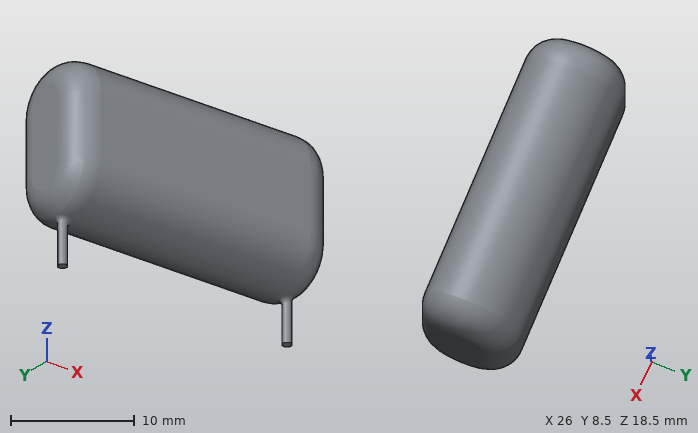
import cadquery as cq

body_length = 26.0
body_thickness = 8.5
body_height = 14.5
end_radius = 2.5

total_height = 18.5
lead_diameter = 0.8
lead_pitch = 22.5
root_radius = 0.5
lead_drop = total_height - body_height

body_center_z = body_height / 2
lead_positions = (-lead_pitch / 2, lead_pitch / 2)


def make_body():
    """Section extruded along X, with both end faces rounded over."""
    return (
        cq.Workplane("YZ")
        .center(0, body_center_z)
        .slot2D(body_height, body_thickness, 90)
        .extrude(body_length / 2, both=True)
        .faces("<X or >X")
        .edges()
        .fillet(end_radius)
    )


def make_lead(x):
    """Straight wire from its lower tip up into the middle of the body."""
    return (
        cq.Workplane("XY", origin=(x, 0, -lead_drop))
        .circle(lead_diameter / 2)
        .extrude(lead_drop + body_center_z)
    )


def lead_root(x):
    """Select the edge where the lead at x meets the underside of the body."""
    half_box = lead_diameter / 2
    return cq.selectors.BoxSelector(
        (x - half_box, -half_box, 0),
        (x + half_box, half_box, end_radius),
    )


result = make_body()
for lead_x in lead_positions:
    result = result.union(make_lead(lead_x))

for lead_x in lead_positions:
    result = result.edges(lead_root(lead_x)).fillet(root_radius)